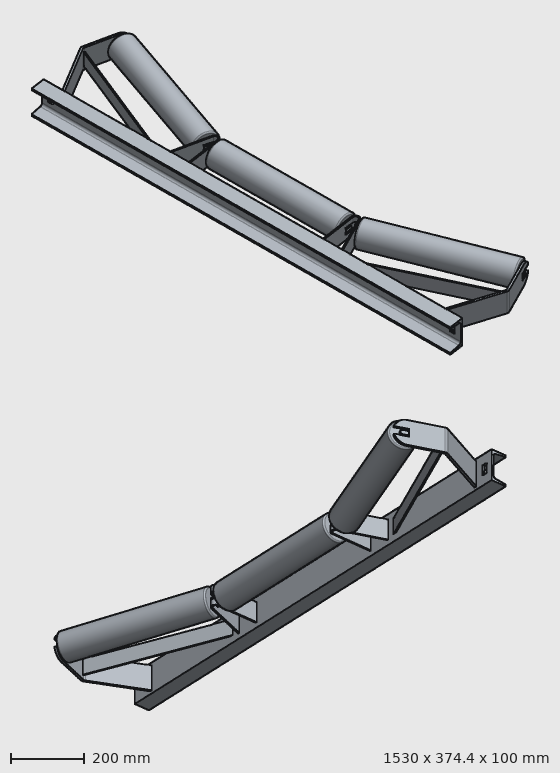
import cadquery as cq
import math

trough_angle = 20.0
middle_axis_height = 116.0
wing_center = (-495.0, 204.0)

roller_diameter = 90.0
roller_length = 465.0
roller_rim_radius = 5.0
shaft_diameter = 25.0
shaft_flat_width = 14.0
shaft_length = 487.0
shaft_round_length = 471.0

beam_length = 1500.0
beam_height = 100.0
flange_depth = 50.0
web_thickness = 6.9
flange_tip_thickness = 6.0
flange_root_thickness = 10.0
flange_root_radius = 8.4
bolt_slot_width = 18.0
bolt_slot_height = 32.0
bolt_slot_corner_radius = 3.0
bolt_slot_spacing = 1439.0

outer_width = 80.0
outer_thickness = 8.0
outer_bend_radius = 15.0
outer_bend_center = (-750.0, 175.0)
leg_angle = 24.8
outer_head_drop = 6.0

inner_width = 65.0
inner_thickness = 5.0
inner_bend_mid_radius = 11.5
inner_leg_distance = 240.0

brace_angle = 23.2
brace_thickness = 5.0
brace_width = 50.0

shaft_slot_width = shaft_diameter
cutter_length = 30.0


def along(point, angle, distance):
    """Point reached from another by going a distance at an angle above the X axis."""
    turn = math.radians(angle)
    return (point[0] + distance * math.cos(turn), point[1] + distance * math.sin(turn))


def in_wing_position(shape):
    """Move a shape made around the X axis to the left wing roller."""
    return shape.rotate((0, 0, 0), (0, 0, 1), -trough_angle).translate((*wing_center, 0))


def in_middle_position(shape):
    """Move a shape made around the X axis to the middle roller."""
    return shape.translate((0, middle_axis_height, 0))


def with_mirror_copy(shape):
    """The left-hand shape and its right-hand twin."""
    return [shape, shape.mirror("YZ")]


def extrude_centered(profile, width):
    """Extrude a profile drawn in an XY or YZ plane, equally to both sides of that plane."""
    normal = profile.plane.zDir
    return profile.extrude(width).translate(normal * (-width / 2))


def make_cylinder(diameter, length):
    """Cylinder along the X axis, centred at the origin."""
    return extrude_centered(cq.Workplane("YZ").circle(diameter / 2), length)


def make_beam():
    """Channel with tapered flanges pointing to -Y and a bolt slot near each end of the web."""
    half_height = beam_height / 2
    tip_z = half_height - flange_tip_thickness
    root_z = half_height - flange_root_thickness
    profile = (
        cq.Workplane("YZ")
        .moveTo(0, -half_height)
        .lineTo(0, half_height)
        .lineTo(-flange_depth, half_height)
        .lineTo(-flange_depth, tip_z)
        .lineTo(-web_thickness, root_z)
        .lineTo(-web_thickness, -root_z)
        .lineTo(-flange_depth, -tip_z)
        .lineTo(-flange_depth, -half_height)
        .close()
    )
    beam = extrude_centered(profile, beam_length)
    for side in (-1, 1):
        root = cq.selectors.NearestToPointSelector((0, -web_thickness, side * root_z))
        beam = beam.edges(root).fillet(flange_root_radius)
    bolt_slots = (
        cq.Workplane("XY")
        .pushPoints([(-bolt_slot_spacing / 2, 0), (bolt_slot_spacing / 2, 0)])
        .box(bolt_slot_width, cutter_length, bolt_slot_height)
        .edges("|Y")
        .fillet(bolt_slot_corner_radius)
    )
    return beam.cut(bolt_slots)


def make_roller():
    """Drum on a shaft along X, with two flats at each end of the shaft."""
    drum = make_cylinder(roller_diameter, roller_length).faces("<X or >X").edges().fillet(roller_rim_radius)
    shaft = make_cylinder(shaft_diameter, shaft_round_length)
    flat_bar = cq.Workplane("XY").box(shaft_length, shaft_diameter, shaft_flat_width)
    flat_ends = make_cylinder(shaft_diameter, shaft_length).intersect(flat_bar)
    return drum.union(shaft).union(flat_ends)


def make_shaft_slot(side):
    """Cutter for the open slot that holds a shaft end, on the given side of a roller."""
    return (
        cq.Workplane("XY")
        .box(cutter_length, outer_width, shaft_slot_width, centered=(True, False, True))
        .translate((side * shaft_length / 2, -shaft_diameter / 2, 0))
    )


def make_head_rounding():
    """Cutter that rounds the outer bracket's head about a point just below the roller axis."""
    corners = cq.Workplane("XY").box(
        cutter_length, outer_width, 2 * outer_width, centered=(True, False, True)
    )
    head = make_cylinder(outer_width, cutter_length)
    return corners.cut(head).translate((-shaft_length / 2, -outer_head_drop, 0))


def make_outer_bracket():
    """Strip bent at the knee, from the beam up to the outer end of the wing roller."""
    outer_radius = outer_bend_radius
    inner_radius = outer_bend_radius - outer_thickness
    arm_side = 180 - trough_angle
    leg_side = 180 + leg_angle
    arm_direction = 90 - trough_angle
    axis_rise = (wing_center[0] - outer_bend_center[0]) * math.cos(math.radians(arm_direction)) + (
        wing_center[1] - outer_bend_center[1]
    ) * math.sin(math.radians(arm_direction))
    arm_length = axis_rise - outer_head_drop + outer_width / 2

    def foot(radius):
        x, y = along(outer_bend_center, leg_side, radius)
        return (x + y * math.tan(math.radians(leg_angle)), 0)

    arm_outside = along(outer_bend_center, arm_side, outer_radius)
    arm_inside = along(outer_bend_center, arm_side, inner_radius)
    profile = (
        cq.Workplane("XY")
        .moveTo(*foot(outer_radius))
        .lineTo(*along(outer_bend_center, leg_side, outer_radius))
        .threePointArc(along(outer_bend_center, 180, outer_radius), arm_outside)
        .lineTo(*along(arm_outside, arm_direction, arm_length))
        .lineTo(*along(arm_inside, arm_direction, arm_length))
        .lineTo(*arm_inside)
        .threePointArc(
            along(outer_bend_center, 180, inner_radius),
            along(outer_bend_center, leg_side, inner_radius),
        )
        .lineTo(*foot(inner_radius))
        .close()
    )
    bracket = extrude_centered(profile, outer_width)
    bracket = bracket.cut(in_wing_position(make_head_rounding()))
    return bracket.cut(in_wing_position(make_shaft_slot(-1)))


def make_inner_bracket():
    """Strip folded over at the top, with an upright leg and a leg square to the wing roller."""
    turn = math.radians(trough_angle)
    bend_x = -inner_leg_distance - inner_bend_mid_radius
    axial_reach = (bend_x - wing_center[0]) * math.cos(turn)
    bend_y = wing_center[1] + (axial_reach - inner_leg_distance - inner_bend_mid_radius) / math.sin(turn)
    bend_center = (bend_x, bend_y)
    outer_radius = inner_bend_mid_radius + inner_thickness / 2
    inner_radius = inner_bend_mid_radius - inner_thickness / 2
    leg_side = 180 - trough_angle
    top_side = leg_side / 2

    def foot(radius):
        x, y = along(bend_center, leg_side, radius)
        return (x - y * math.tan(turn), 0)

    profile = (
        cq.Workplane("XY")
        .moveTo(bend_x + outer_radius, 0)
        .lineTo(bend_x + outer_radius, bend_y)
        .threePointArc(
            along(bend_center, top_side, outer_radius),
            along(bend_center, leg_side, outer_radius),
        )
        .lineTo(*foot(outer_radius))
        .lineTo(*foot(inner_radius))
        .lineTo(*along(bend_center, leg_side, inner_radius))
        .threePointArc(
            along(bend_center, top_side, inner_radius),
            (bend_x + inner_radius, bend_y),
        )
        .lineTo(bend_x + inner_radius, 0)
        .close()
    )
    bracket = extrude_centered(profile, inner_width)
    bracket = bracket.cut(in_wing_position(make_shaft_slot(1)))
    return bracket.cut(in_middle_position(make_shaft_slot(-1)))


def make_brace(outer_bracket):
    """Flat strip from the beam up to the inside of the outer bracket's knee."""
    turn = math.radians(brace_angle)
    half_thickness = brace_thickness / 2
    start = along(outer_bend_center, 180 - brace_angle, outer_bend_radius - outer_thickness / 2)
    upper = along(start, 90 - brace_angle, half_thickness)
    lower = along(start, 90 - brace_angle, -half_thickness)

    def foot(point):
        return (point[0] + point[1] / math.tan(turn), 0)

    profile = cq.Workplane("XY").polyline([lower, upper, foot(upper), foot(lower)]).close()
    return extrude_centered(profile, brace_width).cut(outer_bracket)


beam = make_beam()
roller = make_roller()
middle_roller = in_middle_position(roller)
wing_rollers = with_mirror_copy(in_wing_position(roller))
outer_bracket = make_outer_bracket()
outer_brackets = with_mirror_copy(outer_bracket)
inner_brackets = with_mirror_copy(make_inner_bracket())
braces = with_mirror_copy(make_brace(outer_bracket))

bodies = [beam, middle_roller, *wing_rollers, *outer_brackets, *inner_brackets, *braces]
result = cq.Compound.makeCompound([body.val() for body in bodies])